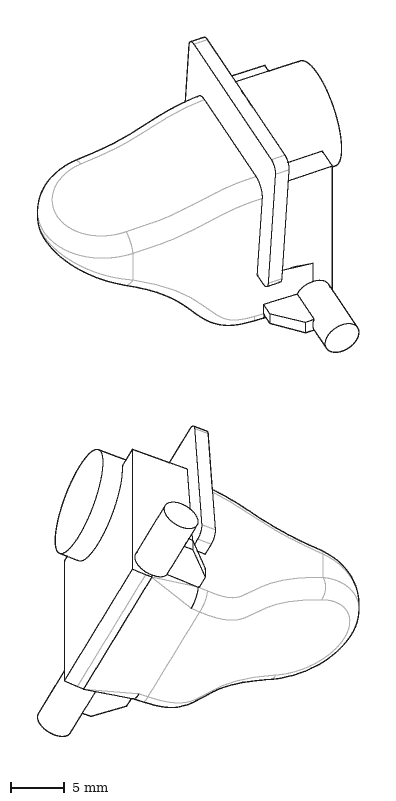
import math
import cadquery as cq


PIN_RADIUS = 1.75
PIN_LENGTH = 27.4
TAB_REACH = 11.0
TAB_FRONT_Y = -5.0
TAB_CHAMFER = 2.5
TAB_HALF_HEIGHT_ROOT = 0.75
TAB_HALF_HEIGHT_TIP = 0.64

BODY_HALF_WIDTH = 7.42
BODY_TOP_Z = 16.15
BODY_BOTTOM_Z = -2.1
BODY_BACK_Y = 2.0
BODY_BOTTOM_RISE = 0.15
BACK_DRAFT_DEG = 0.5
STEP_BACK_Z = 4.15

BOSS_RADIUS = 5.25
BOSS_BACK_Y = 4.0
BOSS_CENTER_Z = 15.54

LEAN = math.tan(math.radians(3))
PLATE_HALF_WIDTH = 9.43
PLATE_TOP_Z = 20.81
PLATE_BOTTOM_Z = 4.76
PLATE_DEPTH = 1.4
PLATE_CORNER_RADIUS = 1.0
FRONT_FACE_Y_AT_PIN = -5.89

LEVER_ROOT_Y = -4.9
LEVER_TIP_Y = -24.26
LEVER_NOSE_RADIUS = 6.45
LEVER_FILLET = 1.5
LEVER_TOP_TIP_Z = 13.34
LEVER_TOP_SLOPE = 0.086
LEVER_TOP_BEND_Y = -14.0
LEVER_TOP_CREST = (-8.6, 15.72)
LEVER_BOTTOM_TIP_Z = 10.5
LEVER_BOTTOM_SLOPE = 0.54
LEVER_BOTTOM_BEND_Y = -18.7
LEVER_BOTTOM_MIDDLE = [(-13.14, 3.07), (-10.88, 0.2)]
LEVER_BOTTOM_FLAT_Y = -5.8

CORNER_START_RADIUS = 0.02

CUTTER_MARGIN = 0.5


def front_face_y(z):
    """Y of the leaning front face of the plate at height z."""
    return FRONT_FACE_Y_AT_PIN + LEAN * z


def lever_half_width(y):
    """Half width between the converging side walls of the lever at depth y."""
    lean_angle = math.atan(LEAN)
    tangent_x = LEVER_NOSE_RADIUS * math.cos(lean_angle)
    return tangent_x + LEAN * (y - nose_tangent_y())


def nose_tangent_y():
    """Y where the lever side walls run into the round nose."""
    return LEVER_TIP_Y + LEVER_NOSE_RADIUS * (1 - math.sin(math.atan(LEAN)))


def side_sketch(half_width):
    """YZ sketch plane at -half_width, ready to be extruded to +half_width."""
    return cq.Workplane("YZ").workplane(offset=-half_width)


def make_pin():
    """Pivot pin running across the full width."""
    return side_sketch(PIN_LENGTH / 2).circle(PIN_RADIUS).extrude(PIN_LENGTH)


def make_tabs():
    """Chamfered flat tabs in front of the pin, thinning toward the front."""
    plan = (
        cq.Workplane("XY")
        .workplane(offset=-TAB_HALF_HEIGHT_ROOT)
        .polyline([
            (-TAB_REACH, -PIN_RADIUS / 2),
            (-TAB_REACH, TAB_FRONT_Y + TAB_CHAMFER),
            (-TAB_REACH + TAB_CHAMFER, TAB_FRONT_Y),
            (TAB_REACH - TAB_CHAMFER, TAB_FRONT_Y),
            (TAB_REACH, TAB_FRONT_Y + TAB_CHAMFER),
            (TAB_REACH, -PIN_RADIUS / 2),
        ])
        .close()
        .extrude(2 * TAB_HALF_HEIGHT_ROOT)
    )
    wedge = side_sketch(TAB_REACH).polyline([
        (0, -TAB_HALF_HEIGHT_ROOT),
        (0, TAB_HALF_HEIGHT_ROOT),
        (TAB_FRONT_Y, TAB_HALF_HEIGHT_TIP),
        (TAB_FRONT_Y, -TAB_HALF_HEIGHT_TIP),
    ]).close()
    return plan.intersect(wedge.extrude(2 * TAB_REACH))


def make_back_body():
    """Block between the plate and the back face, slightly narrowing toward the back."""
    drafted = (
        cq.Workplane("XZ")
        .workplane(offset=-LEVER_ROOT_Y)
        .center(0, (BODY_TOP_Z + BODY_BOTTOM_Z) / 2)
        .rect(2 * BODY_HALF_WIDTH, BODY_TOP_Z - BODY_BOTTOM_Z)
        .extrude(LEVER_ROOT_Y - BODY_BACK_Y, taper=BACK_DRAFT_DEG)
    )
    side = side_sketch(BODY_HALF_WIDTH).polyline([
        (BODY_BACK_Y, BODY_BOTTOM_Z + BODY_BOTTOM_RISE),
        (BODY_BACK_Y, BODY_TOP_Z),
        (front_face_y(BODY_TOP_Z) + PLATE_DEPTH / 2, BODY_TOP_Z),
        (front_face_y(PLATE_BOTTOM_Z) + PLATE_DEPTH, PLATE_BOTTOM_Z),
        (0, STEP_BACK_Z),
        (0, BODY_BOTTOM_Z),
    ]).close()
    return drafted.intersect(side.extrude(2 * BODY_HALF_WIDTH))


def make_boss():
    """Round boss standing on the back of the plate, narrowing slightly toward the back."""
    root_y = front_face_y(BOSS_CENTER_Z) + PLATE_DEPTH / 2
    return (
        cq.Workplane("XZ")
        .workplane(offset=-root_y)
        .center(0, BOSS_CENTER_Z)
        .circle(BOSS_RADIUS)
        .extrude(root_y - BOSS_BACK_Y, taper=BACK_DRAFT_DEG)
    )


def make_plate():
    """Leaning rectangular plate with rounded corners and level top and bottom edges."""
    side = side_sketch(PLATE_HALF_WIDTH).polyline([
        (front_face_y(PLATE_BOTTOM_Z), PLATE_BOTTOM_Z),
        (front_face_y(PLATE_TOP_Z), PLATE_TOP_Z),
        (front_face_y(PLATE_TOP_Z) + PLATE_DEPTH, PLATE_TOP_Z),
        (front_face_y(PLATE_BOTTOM_Z) + PLATE_DEPTH, PLATE_BOTTOM_Z),
    ]).close()
    rounded_outline = (
        cq.Workplane("XZ")
        .center(0, (PLATE_TOP_Z + PLATE_BOTTOM_Z) / 2)
        .rect(2 * PLATE_HALF_WIDTH, PLATE_TOP_Z - PLATE_BOTTOM_Z)
        .extrude(-FRONT_FACE_Y_AT_PIN)
        .edges("|Y")
        .fillet(PLATE_CORNER_RADIUS)
    )
    return side.extrude(2 * PLATE_HALF_WIDTH).intersect(rounded_outline)


def make_plan():
    """Plan of the lever: sides converging toward a round nose they meet tangentially."""
    tangent_y = nose_tangent_y()
    tangent_x = lever_half_width(tangent_y)
    root_x = lever_half_width(0)
    return (
        cq.Workplane("XY")
        .workplane(offset=BODY_BOTTOM_Z)
        .moveTo(-root_x, 0)
        .lineTo(-tangent_x, tangent_y)
        .threePointArc((0, LEVER_TIP_Y), (tangent_x, tangent_y))
        .lineTo(root_x, 0)
        .close()
        .extrude(BODY_TOP_Z - BODY_BOTTOM_Z)
    )


def make_lever(plan):
    """Thumb lever with rounded upper and lower rims."""
    top_shelf = [
        (y, LEVER_TOP_TIP_Z + LEVER_TOP_SLOPE * (y - LEVER_TIP_Y))
        for y in (LEVER_TOP_BEND_Y, nose_tangent_y(), LEVER_TIP_Y)
    ]
    bottom_bend = (
        LEVER_BOTTOM_BEND_Y,
        LEVER_BOTTOM_TIP_Z - LEVER_BOTTOM_SLOPE * (LEVER_BOTTOM_BEND_Y - LEVER_TIP_Y),
    )
    side = (
        side_sketch(BODY_HALF_WIDTH)
        .moveTo(LEVER_ROOT_Y, BODY_TOP_Z)
        .spline(
            [LEVER_TOP_CREST] + top_shelf,
            tangents=[(-1, 0), (-1, -LEVER_TOP_SLOPE)],
            includeCurrent=True,
        )
        .lineTo(LEVER_TIP_Y, LEVER_BOTTOM_TIP_Z)
        .spline(
            [bottom_bend] + LEVER_BOTTOM_MIDDLE + [(LEVER_BOTTOM_FLAT_Y, BODY_BOTTOM_Z)],
            tangents=[(1, -LEVER_BOTTOM_SLOPE), (1, 0)],
            includeCurrent=True,
        )
        .lineTo(LEVER_ROOT_Y, BODY_BOTTOM_Z)
        .close()
    )
    lever = side.extrude(2 * BODY_HALF_WIDTH).intersect(plan)
    return lever.edges("not (|X or |Z)").fillet(LEVER_FILLET)


def corner_cutter(side):
    """Waste outside a round corner that grows from the pin axis to the lever root.

    side is +1 or -1 and picks the right or left body corner.
    """
    def waste_outline(sketch, corner_x, radius):
        arc_middle = radius * (1 - math.sqrt(0.5))
        return (
            sketch.moveTo(side * (corner_x - radius), BODY_BOTTOM_Z)
            .threePointArc(
                (side * (corner_x - arc_middle), BODY_BOTTOM_Z + arc_middle),
                (side * corner_x, BODY_BOTTOM_Z + radius),
            )
            .lineTo(side * (corner_x + CUTTER_MARGIN), BODY_BOTTOM_Z + radius)
            .lineTo(side * (corner_x + CUTTER_MARGIN), BODY_BOTTOM_Z - CUTTER_MARGIN)
            .lineTo(side * (corner_x - radius), BODY_BOTTOM_Z - CUTTER_MARGIN)
            .close()
        )

    start = waste_outline(cq.Workplane("XZ"), lever_half_width(0), CORNER_START_RADIUS)
    end = waste_outline(
        start.workplane(offset=-LEVER_ROOT_Y), lever_half_width(LEVER_ROOT_Y), LEVER_FILLET
    )
    return end.loft(ruled=True)


def make_lower_body(plan):
    """Tapered part of the body under the plate, joining the pin to the lever."""
    side = side_sketch(BODY_HALF_WIDTH).polyline([
        (0, BODY_BOTTOM_Z),
        (0, STEP_BACK_Z),
        (front_face_y(PLATE_BOTTOM_Z) + PLATE_DEPTH, PLATE_BOTTOM_Z),
        (LEVER_ROOT_Y, PLATE_BOTTOM_Z),
        (LEVER_ROOT_Y, BODY_BOTTOM_Z),
    ]).close()
    body = side.extrude(2 * BODY_HALF_WIDTH).intersect(plan)
    for corner_side in (-1, 1):
        body = body.cut(corner_cutter(corner_side))
    return body


plan_prism = make_plan()
result = (
    make_back_body()
    .union(make_lower_body(plan_prism))
    .union(make_lever(plan_prism))
    .union(make_plate())
    .union(make_boss())
    .union(make_pin())
    .union(make_tabs())
)